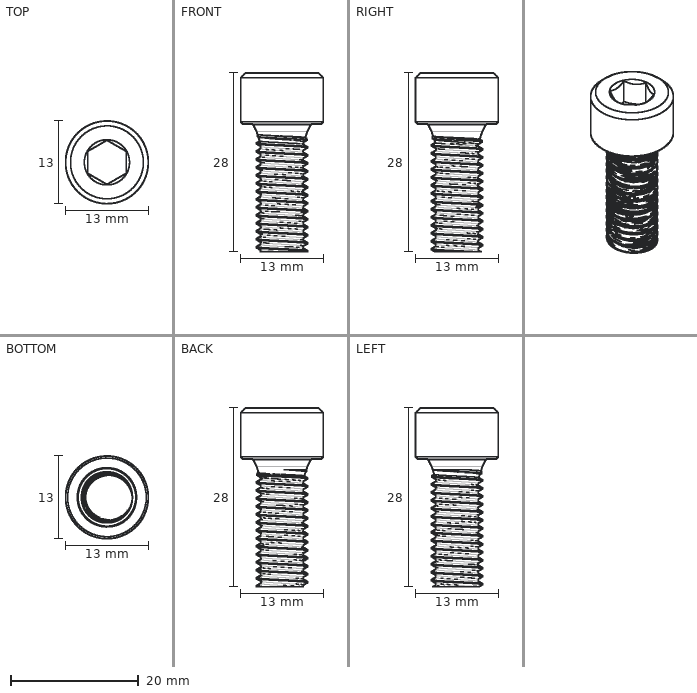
import cadquery as cq
import math

total_length = 28
head_height = 8.0
head_diameter = 13.0
top_chamfer = 0.78
bottom_chamfer = 0.35
under_head = total_length - head_height
overlap = 0.28

lip_diameter = 9.3
flare_diameter = 9.02
lip_depth = 0.15
flare_depth = 1.15
runout_depth = 3.08

thread_diameter = 8.0
root_diameter = 6.72
pitches_along_shank = 16
thread_pitch = under_head / pitches_along_shank
thread_angle = 60
thread_length = under_head - flare_depth + overlap
crest_width = thread_pitch / 8
crest_height_at_plus_x = 0.098
crest_fade_slope = 0.12
flank_steps = 6

socket_across_flats = 6.0
socket_rim_diameter = 7.08
socket_depth = 4.0
socket_floor_slope = 31
half_facet_angle = 30


def make_head():
    """Cylindrical head, bevelled at both rims."""
    blank = cq.Workplane("XY").workplane(offset=under_head).circle(head_diameter / 2).extrude(head_height)
    return blank.faces(">Z").chamfer(top_chamfer).faces("<Z").chamfer(bottom_chamfer)


def make_neck():
    """Lip and flare under the head, then a cone that runs out into the thread root."""
    lip_radius = lip_diameter / 2
    flare_end = (thread_diameter / 2, under_head - flare_depth)
    runout_end = (root_diameter / 2, under_head - runout_depth)
    cone_slope = (flare_end[1] - runout_end[1]) / (flare_end[0] - runout_end[0])
    cone_tip = (0, runout_end[1] - runout_end[0] * cone_slope)
    return (
        cq.Workplane("XZ")
        .moveTo(*cone_tip)
        .lineTo(*flare_end)
        .lineTo(flare_diameter / 2, under_head - lip_depth)
        .lineTo(lip_radius, under_head)
        .lineTo(lip_radius, under_head + overlap)
        .lineTo(0, under_head + overlap)
        .close()
        .revolve(360, (0, 0), (0, 1))
    )


def make_thread():
    """Left-hand thread, made by twisting its cross-section along the axis.

    A flank that is straight along the axis is a spiral in the cross-section.
    """
    crest_radius = thread_diameter / 2
    root_radius = root_diameter / 2
    thread_depth = crest_radius - root_radius
    crest_half_angle = 180 * crest_width / thread_pitch
    flank_width = thread_depth * math.tan(math.radians(thread_angle / 2))
    flank_angle = 360 * flank_width / thread_pitch
    flank_end = crest_half_angle + flank_angle
    crest_direction = 360 * crest_height_at_plus_x / thread_pitch

    def point(radius, angle):
        turned = math.radians(crest_direction + angle)
        return (radius * math.cos(turned), radius * math.sin(turned))

    flank_out = []
    flank_in = []
    for step in range(flank_steps + 1):
        share = step / flank_steps
        flank_out.append(point(root_radius + thread_depth * share, flank_angle * share - flank_end))
        flank_in.append(point(crest_radius - thread_depth * share, crest_half_angle + flank_angle * share))
    thread = (
        cq.Workplane("XY")
        .moveTo(*flank_out[0])
        .spline(flank_out[1:], includeCurrent=True)
        .threePointArc(point(crest_radius, 0), flank_in[0])
        .spline(flank_in[1:], includeCurrent=True)
        .threePointArc(point(root_radius, 180), flank_out[0])
        .close()
        .twistExtrude(thread_length, -360 * thread_length / thread_pitch)
    )

    fade_start = under_head - runout_depth
    fade_base_radius = crest_radius + crest_fade_slope * fade_start
    fade_top_radius = crest_radius - crest_fade_slope * runout_depth
    fade_cone = (
        cq.Workplane("XZ")
        .lineTo(fade_base_radius, 0)
        .lineTo(fade_top_radius, under_head)
        .lineTo(0, under_head)
        .close()
        .revolve(360, (0, 0), (0, 1))
    )
    return thread.intersect(fade_cone)


def make_socket():
    """Hexagonal hole with a 45 degree conical lead-in and a drill-point floor.

    Two corners of the hexagon lie on the Y axis.
    """
    corner_diameter = socket_across_flats / math.cos(math.radians(half_facet_angle))
    corner_radius = corner_diameter / 2
    rim_radius = socket_rim_diameter / 2
    cone_depth = corner_radius * math.tan(math.radians(socket_floor_slope))
    floor = total_length - socket_depth
    prism = (
        cq.Workplane("XY")
        .workplane(offset=floor - cone_depth)
        .transformed(rotate=(0, 0, 90))
        .polygon(6, corner_diameter)
        .extrude(socket_depth + cone_depth)
    )
    drill = (
        cq.Workplane("XZ")
        .moveTo(0, floor - cone_depth)
        .lineTo(corner_radius, floor)
        .lineTo(rim_radius, floor)
        .lineTo(rim_radius, total_length)
        .lineTo(0, total_length)
        .close()
        .revolve(360, (0, 0), (0, 1))
    )
    lead_in = (
        cq.Workplane("XZ")
        .moveTo(0, total_length)
        .lineTo(rim_radius, total_length)
        .lineTo(0, total_length - rim_radius)
        .close()
        .revolve(360, (0, 0), (0, 1))
    )
    return prism.intersect(drill).union(lead_in)


head = make_head().cut(make_socket())
result = make_thread().union(make_neck()).union(head)